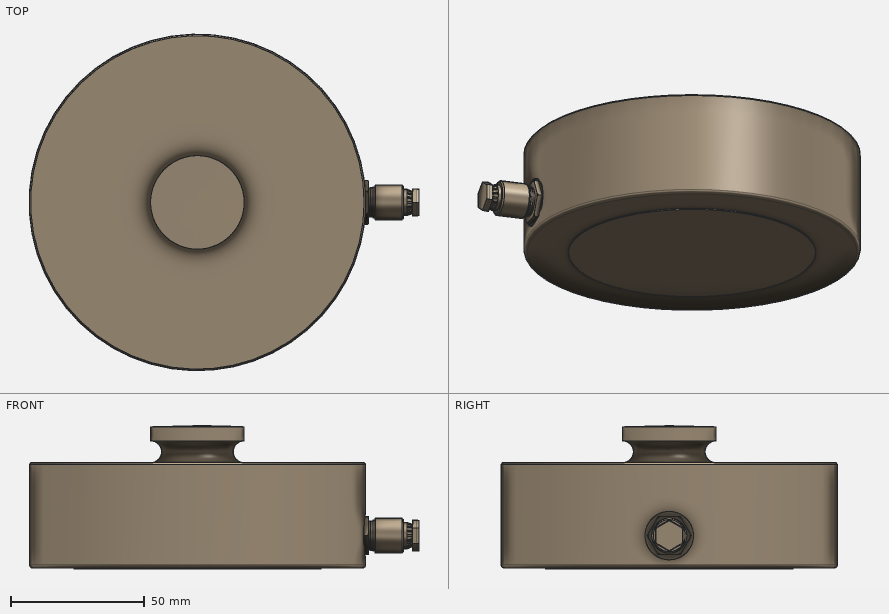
import cadquery as cq
import math

housing_radius = 63.0
base_pad_radius = 46.3
base_pad_height = 0.5
housing_top = 39.9
top_chamfer = 0.6
bottom_fillet = 1.3

button_radius = 17.5
groove_radius = 4.1
button_edge_height = 53.3
button_crown_height = 53.7
waist_radius = button_radius - groove_radius
groove_height = housing_top + groove_radius
button_underside = housing_top + 2 * groove_radius

gland_height = 12.5
spotface_radius = 9.0
spotface_x = 62.2
flange_end = 64.1
flange_corner_radius = 8.25
flange_chamfer = 0.5
neck_radius = 5.4
neck_step_x = 64.8
neck_step_radius = 5.5
neck_end = 65.7
collar_radius = 5.8
sleeve_start = 66.5
sleeve_radius = 6.5
sleeve_end = 77.1
sleeve_start_chamfer = 0.3
sleeve_end_chamfer = 0.6
tail_radius = 5.0
clamp_start = 78.4
clamp_end = 80.3
clamp_end_radius = 4.2
clamp_slot_count = 16
clamp_slot_width = 0.7
clamp_slot_depth = 0.6
nut_start = 80.6
gland_end = 146 - housing_radius
nut_corner_radius = 5.8
nut_chamfer = 0.3
nut_taper_length = 1.0
nut_taper_angle = 8


def gland_plane(x):
    """Plane across the gland axis, with local X along +Y and local Y along +Z."""
    return cq.Workplane("YZ", origin=(x, 0, gland_height))


def make_button():
    """Crowned button above a waist with a semicircular groove."""
    crown_rise = button_crown_height - button_edge_height
    crown_radius = (button_radius**2 + crown_rise**2) / (2 * crown_rise)
    half_radius = button_radius / 2
    crown_drop = crown_radius - math.sqrt(crown_radius**2 - half_radius**2)
    return (
        cq.Workplane("XZ")
        .moveTo(0, housing_top)
        .lineTo(button_radius, housing_top)
        .threePointArc((waist_radius, groove_height), (button_radius, button_underside))
        .lineTo(button_radius, button_edge_height)
        .threePointArc((half_radius, button_crown_height - crown_drop), (0, button_crown_height))
        .close()
        .revolve(360, (0, 0, 0), (0, 1, 0))
    )


def make_housing():
    """Round housing with its button, base pad and a spotface for the gland."""
    drum = (
        cq.Workplane("XY", origin=(0, 0, base_pad_height))
        .circle(housing_radius)
        .extrude(housing_top - base_pad_height)
        .faces(">Z")
        .edges()
        .chamfer(top_chamfer)
        .faces("<Z")
        .edges()
        .fillet(bottom_fillet)
    )
    base_pad = cq.Workplane("XY").circle(base_pad_radius).extrude(base_pad_height)
    spotface = gland_plane(spotface_x).circle(spotface_radius).extrude(housing_radius - spotface_x)
    return drum.union(base_pad).union(make_button()).cut(spotface)


def make_hexagon(start, end, corner_radius, chamfer, turn):
    """Hexagonal prism along the gland axis, its outer corners rounded off by a cone."""
    prism = (
        gland_plane(start)
        .transformed(rotate=(0, 0, turn))
        .polygon(6, 2 * corner_radius)
        .extrude(end - start)
    )
    envelope = gland_plane(start).circle(corner_radius).extrude(end - start)
    return prism.intersect(envelope.faces(">X").edges().chamfer(chamfer))


def make_gland_core():
    """Turned neck, collar, sleeve, tail and tapered clamp of the gland."""
    profile = [
        (flange_end, 0),
        (flange_end, neck_radius),
        (neck_step_x, neck_radius),
        (neck_step_x, neck_step_radius),
        (neck_end, neck_step_radius),
        (neck_end, collar_radius),
        (sleeve_start, collar_radius),
        (sleeve_start, sleeve_radius - sleeve_start_chamfer),
        (sleeve_start + sleeve_start_chamfer, sleeve_radius),
        (sleeve_end - sleeve_end_chamfer, sleeve_radius),
        (sleeve_end, sleeve_radius - sleeve_end_chamfer),
        (sleeve_end, tail_radius),
        (clamp_start, tail_radius),
        (clamp_end, clamp_end_radius),
        (nut_start, clamp_end_radius),
        (nut_start, 0),
    ]
    return (
        cq.Workplane("XZ", origin=(0, 0, gland_height))
        .polyline(profile)
        .close()
        .revolve(360, (0, 0, 0), (1, 0, 0))
    )


def cut_clamp_slots(body):
    """Cut the ring of lengthwise slots between the clamp fingers."""
    slot_floor = clamp_end_radius - clamp_slot_depth
    slot_height = tail_radius - slot_floor
    for index in range(clamp_slot_count):
        slot = (
            gland_plane(clamp_start)
            .transformed(rotate=(0, 0, index * 360 / clamp_slot_count))
            .center(slot_floor + slot_height / 2, 0)
            .rect(slot_height, clamp_slot_width)
            .extrude(clamp_end - clamp_start)
        )
        body = body.cut(slot)
    return body


def make_nut():
    """Hexagonal end nut whose flats draw in slightly at the outer end."""
    taper_start = gland_end - nut_taper_length
    prism = make_hexagon(nut_start, gland_end, nut_corner_radius, nut_chamfer, 90)
    tapered_end = (
        gland_plane(taper_start)
        .transformed(rotate=(0, 0, 90))
        .polygon(6, 2 * nut_corner_radius)
        .extrude(nut_taper_length, taper=nut_taper_angle)
    )
    untapered_zone = (
        gland_plane(nut_start)
        .circle(nut_corner_radius)
        .extrude(taper_start - nut_start)
    )
    return prism.intersect(untapered_zone.union(tapered_end))


def make_gland():
    """Cable gland: hexagonal flange, turned core with slotted clamp, and end nut."""
    flange = make_hexagon(spotface_x, flange_end, flange_corner_radius, flange_chamfer, 0)
    nut = make_nut()
    core = cut_clamp_slots(make_gland_core())
    return flange.union(core).union(nut)


housing = make_housing()
gland = make_gland()
result = cq.Compound.makeCompound([housing.val(), gland.val()])